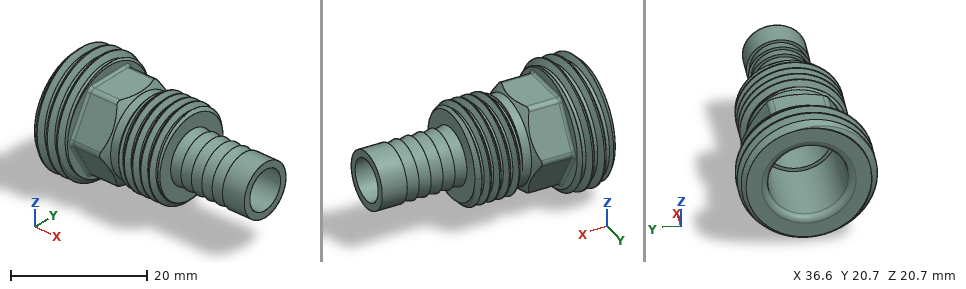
import cadquery as cq
import math

TOTAL_LENGTH = 36.6
FLANGE_END = 6.4
HEX_END = 12.9
SHANK_THREAD_START = 14.4
SHANK_END = 22.4

MOUTH_ROOT_DIAMETER = 18.67
MOUTH_CREST_DIAMETER = 20.7
MOUTH_PITCH = 1.975
MOUTH_CREST_X = 1.77
SHANK_ROOT_DIAMETER = 14.4
SHANK_CREST_DIAMETER = 16.2
SHANK_PITCH = 1.605
SHANK_CREST_X = 15.02
FLANK_HALF_ANGLE = 30
CREST_FLAT_RATIO = 1 / 8
RIDGE_OVERLAP = 0.15

HEX_SIDES = 6
HEX_ACROSS_FLATS = 14.92
HEX_CORNER_RADIUS = 1.0
HEX_CONE_RADIUS = 8.45
HEX_CONE_START = 11.82
HEX_ROOT_FILLET = 0.45

BARB_DIAMETER = 9.5
BARB_ROOT_DIAMETER = 8.6
BARB_PITCH = 2.0
BARB_COUNT = 5

MOUTH_BORE_DIAMETER = 12.0
MOUTH_BORE_DEPTH = HEX_END
MOUTH_ROUND = 1.0
MIDDLE_BORE_DIAMETER = 10.9
MIDDLE_BORE_DEPTH = 20.0
THROUGH_BORE_DIAMETER = 7.0


def cylinder(diameter, start, end):
    """Cylinder on the X axis from start to end."""
    return cq.Workplane("YZ", origin=(start, 0, 0)).circle(diameter / 2).extrude(end - start)


def turned(points):
    """Solid of revolution about X from (x, radius) points."""
    return cq.Workplane("XY").polyline(points).close().revolve(360, (0, 0, 0), (1, 0, 0))


def thread(root_diameter, crest_diameter, pitch, crest_x, start, end):
    """Right-hand helical ridge, cut off by a 45 degree cone at each end."""
    root = root_diameter / 2
    crest = crest_diameter / 2
    base = root - RIDGE_OVERLAP
    crest_half = pitch * CREST_FLAT_RATIO / 2
    base_half = crest_half + (crest - base) * math.tan(math.radians(FLANK_HALF_ANGLE))

    helix_start = crest_x - pitch * math.ceil((crest_x - start + pitch) / pitch)
    turns = math.ceil((end + pitch - helix_start) / pitch)
    helix = cq.Wire.makeHelix(pitch, turns * pitch, base)
    profile = [(base, -base_half), (crest, -crest_half), (crest, crest_half), (base, base_half)]
    ridge = cq.Workplane("XZ").polyline(profile).close().sweep(cq.Workplane(helix), isFrenet=True)
    ridge = ridge.rotate((0, 0, 0), (0, 1, 0), 90).translate((helix_start, 0, 0))

    middle = (start + end) / 2
    envelope = turned([(start, 0), (start, root), (middle, root + middle - start), (end, root), (end, 0)])
    return ridge.intersect(envelope)


def hexagon():
    """Hexagon with flats facing +Z and -Z, rounded corners and a conical end."""
    across_corners = HEX_ACROSS_FLATS / math.cos(math.pi / HEX_SIDES)
    prism = (
        cq.Workplane("YZ", origin=(FLANGE_END, 0, 0))
        .polygon(HEX_SIDES, across_corners)
        .extrude(HEX_END - FLANGE_END)
        .edges("|X")
        .fillet(HEX_CORNER_RADIUS)
    )
    envelope = turned([
        (FLANGE_END, 0),
        (FLANGE_END, across_corners),
        (HEX_CONE_START, across_corners),
        (HEX_CONE_START, HEX_CONE_RADIUS),
        (HEX_END, SHANK_ROOT_DIAMETER / 2),
        (HEX_END, 0),
    ])
    return prism.intersect(envelope)


def flange_and_hexagon():
    """Flange core joined to the hexagon with a small root fillet."""
    body = cylinder(MOUTH_ROOT_DIAMETER, 0, FLANGE_END).union(hexagon())
    reach = HEX_CONE_RADIUS + HEX_ROOT_FILLET
    hex_root = cq.selectors.BoxSelector(
        (FLANGE_END - HEX_ROOT_FILLET, -reach, -reach),
        (FLANGE_END + HEX_ROOT_FILLET, reach, reach),
    )
    flange_rim = cq.selectors.RadiusNthSelector(-1)
    return body.edges(hex_root - flange_rim).fillet(HEX_ROOT_FILLET)


def hose_barb():
    """Row of teeth tapering toward the tip, then a plain end sleeve."""
    tooth_top = BARB_DIAMETER / 2
    tooth_root = BARB_ROOT_DIAMETER / 2
    sleeve_start = SHANK_END + BARB_COUNT * BARB_PITCH
    barb = cylinder(BARB_DIAMETER, sleeve_start, TOTAL_LENGTH)
    for tooth in range(BARB_COUNT):
        start = SHANK_END + tooth * BARB_PITCH
        end = start + BARB_PITCH
        barb = barb.union(turned([(start, 0), (start, tooth_top), (end, tooth_root), (end, 0)]))
    return barb


def stepped_bore():
    """Bore in three diameters, flared by a round at the mouth."""
    radius = MOUTH_BORE_DIAMETER / 2
    bore = cylinder(THROUGH_BORE_DIAMETER, 0, TOTAL_LENGTH)
    bore = bore.union(cylinder(MIDDLE_BORE_DIAMETER, 0, MIDDLE_BORE_DEPTH))
    bore = bore.union(cylinder(MOUTH_BORE_DIAMETER, 0, MOUTH_BORE_DEPTH))
    flare = (
        cq.Workplane("XY")
        .moveTo(0, 0)
        .lineTo(0, radius + MOUTH_ROUND)
        .radiusArc((MOUTH_ROUND, radius), -MOUTH_ROUND)
        .lineTo(MOUTH_ROUND, 0)
        .close()
        .revolve(360, (0, 0, 0), (1, 0, 0))
    )
    return bore.union(flare)


mouth_thread = thread(
    MOUTH_ROOT_DIAMETER, MOUTH_CREST_DIAMETER, MOUTH_PITCH, MOUTH_CREST_X, 0, FLANGE_END
)
shank_thread = thread(
    SHANK_ROOT_DIAMETER,
    SHANK_CREST_DIAMETER,
    SHANK_PITCH,
    SHANK_CREST_X,
    SHANK_THREAD_START,
    SHANK_END,
)

result = (
    flange_and_hexagon()
    .union(cylinder(SHANK_ROOT_DIAMETER, HEX_END, SHANK_END))
    .union(hose_barb())
    .cut(stepped_bore())
    .union(mouth_thread)
    .union(shank_thread)
)